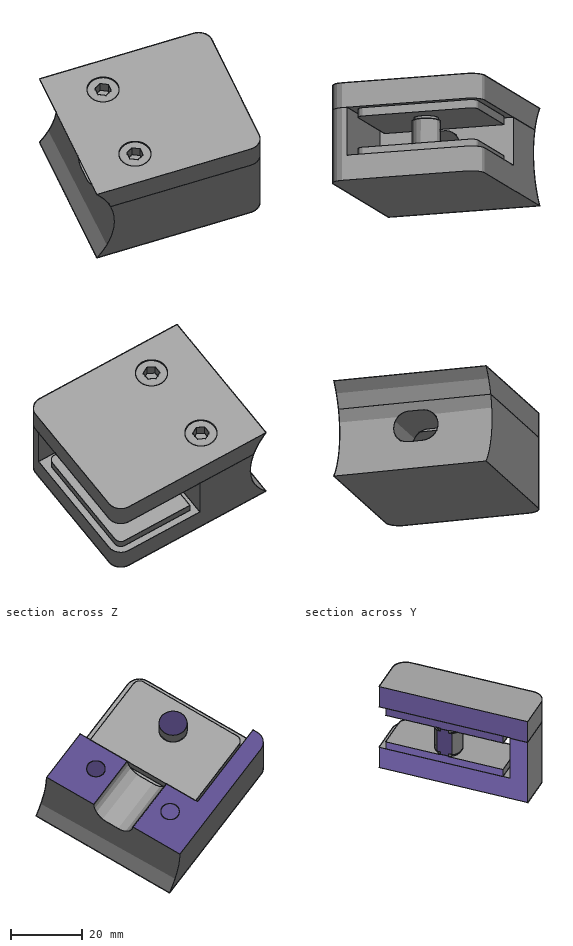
import cadquery as cq
import math


width = 45.0
length = 50.3
height = 28.0
plate_thickness = 7.15
corner_radius = 4.0
post_radius = 21.2

slot_front_y = 22.3
slot_height = height - 2 * plate_thickness
pin_x = -2.7
slot_width = 2 * (pin_x + width / 2)
cover_bottom_z = slot_height / 2

pad_inset = 2.0
pad_gap = 8.95
pad_thickness = (slot_height - pad_gap) / 2
pad_corner_radius = corner_radius - pad_inset

mount_slot_width = 13.05
mount_slot_height = pad_gap

pin_y = 39.55
pin_diameter = 8.0
pin_neck_diameter = 7.0
pin_middle_height = 7.3

screw_spacing = 25.0
screw_y = 15.3
head_diameter = 9.05
head_height = 5.05
head_edge_radius = 0.5
shank_diameter = 5.05
shank_length = 12.05
hex_across_flats = 4.0
hex_depth = 3.0

screw_points = [(-screw_spacing / 2, screw_y), (screw_spacing / 2, screw_y)]


def plate_block(bottom_z, top_z):
    """Full-size plate with rounded back corners and the saddle cut in its front."""
    block = (
        cq.Workplane("XY", origin=(0, length / 2, bottom_z))
        .rect(width, length)
        .extrude(top_z - bottom_z)
        .edges("|Z and >Y")
        .fillet(corner_radius)
    )
    post_y = -math.sqrt(post_radius**2 - (height / 2) ** 2)
    post = (
        cq.Workplane("YZ", origin=(-width / 2, post_y, 0))
        .circle(post_radius)
        .extrude(width)
    )
    return block.cut(post)


def screw_blank(x, y):
    """Plain screw envelope: a cylindrical head flush with the top, and its shank."""
    head_bottom_z = height / 2 - head_height
    head = (
        cq.Workplane("XY", origin=(x, y, head_bottom_z))
        .circle(head_diameter / 2)
        .extrude(head_height)
    )
    shank = (
        cq.Workplane("XY", origin=(x, y, head_bottom_z))
        .circle(shank_diameter / 2)
        .extrude(-shank_length)
    )
    return head.union(shank)


def make_screw(x, y):
    """Cap screw with a rounded head edge and a hexagon socket."""
    hex_across_corners = hex_across_flats / math.cos(math.pi / 6)
    socket = (
        cq.Workplane("XY", origin=(x, y, height / 2))
        .polygon(6, hex_across_corners)
        .extrude(-hex_depth)
    )
    return screw_blank(x, y).edges(">Z").fillet(head_edge_radius).cut(socket)


def cut_screw_holes(body):
    """Stepped holes that the screws fill."""
    for x, y in screw_points:
        body = body.cut(screw_blank(x, y))
    return body


def make_base():
    """Lower plate, saddle block and side wall in one piece, up to the cover."""
    slot_length = length - slot_front_y
    panel_slot = cq.Workplane("XY").box(slot_width, slot_length, slot_height).translate(
        (pin_x, slot_front_y + slot_length / 2, 0)
    )
    mount_slot = (
        cq.Workplane("XZ")
        .slot2D(mount_slot_width, mount_slot_height)
        .extrude(-slot_front_y)
    )
    body = plate_block(-height / 2, cover_bottom_z).cut(panel_slot).cut(mount_slot)
    return cut_screw_holes(body)


def make_cover():
    """Upper plate, screwed onto the base."""
    return cut_screw_holes(plate_block(cover_bottom_z, height / 2))


def make_pad(bottom_z):
    """Flat pad with rounded back corners."""
    pad_width = slot_width - 2 * pad_inset
    pad_length = length - slot_front_y - 2 * pad_inset
    pad_center_y = slot_front_y + pad_inset + pad_length / 2
    return (
        cq.Workplane("XY", origin=(pin_x, pad_center_y, bottom_z))
        .rect(pad_width, pad_length)
        .extrude(pad_thickness)
        .edges("|Z and >Y")
        .fillet(pad_corner_radius)
    )


def make_pin():
    """Round pin reaching from pad to pad, with a narrower neck at each end."""
    neck = (
        cq.Workplane("XY", origin=(pin_x, pin_y, -pad_gap / 2))
        .circle(pin_neck_diameter / 2)
        .extrude(pad_gap)
    )
    middle = (
        cq.Workplane("XY", origin=(pin_x, pin_y, -pin_middle_height / 2))
        .circle(pin_diameter / 2)
        .extrude(pin_middle_height)
    )
    return neck.union(middle)


base = make_base()
cover = make_cover()
pads = [make_pad(bottom_z) for bottom_z in (-slot_height / 2, pad_gap / 2)]
pin = make_pin()
screws = [make_screw(x, y) for x, y in screw_points]

result = cq.Compound.makeCompound(
    [base.val(), cover.val(), pin.val()]
    + [pad.val() for pad in pads]
    + [screw.val() for screw in screws]
)